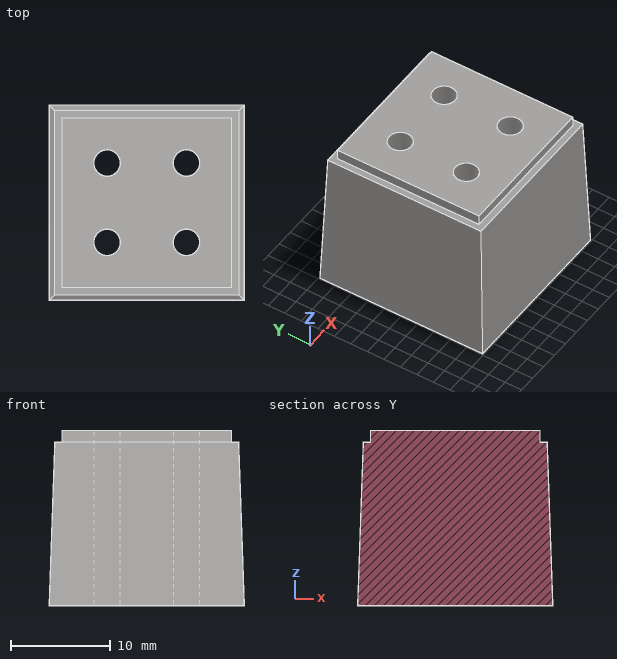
import cadquery as cq

base_side = 19.71
shoulder_side = 18.57
total_height = 17.7

pad_side = 17.1
pad_height = 1.18
body_height = total_height - pad_height

hole_diameter = 2.65
hole_pitch = 8.0
holes_per_side = 2


def make_body():
    """Square frustum standing on the XY plane, centred on Z."""
    return (
        cq.Workplane("XY")
        .rect(base_side, base_side)
        .workplane(offset=body_height)
        .rect(shoulder_side, shoulder_side)
        .loft(ruled=True)
    )


def make_pad():
    """Straight-sided pad, leaving a narrow ledge around the shoulder."""
    return (
        cq.Workplane("XY")
        .workplane(offset=body_height)
        .rect(pad_side, pad_side)
        .extrude(pad_height)
    )


def make_holes():
    """Vertical cylinders through the full height."""
    return (
        cq.Workplane("XY")
        .rarray(hole_pitch, hole_pitch, holes_per_side, holes_per_side)
        .circle(hole_diameter / 2)
        .extrude(total_height)
    )


result = make_body().union(make_pad()).cut(make_holes())